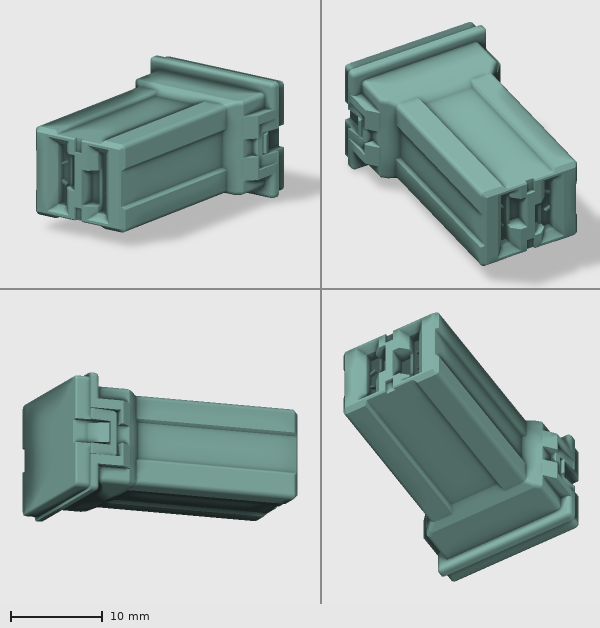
import cadquery as cq
import math


length = 26.9
cap_depth = 1.65
flange_back = length - cap_depth
flange_depth = 1.0
body_end = 19.03
taper_start_side = 20.3
taper_start_top = 20.0

flange_width, flange_height = 17.0, 13.2
cap_width, cap_height = 16.16, 12.46
housing_width, housing_height = 14.72, 10.76
body_width, body_height = 12.16, 10.06
corner_radius = 0.5
flange_edge_radius = 0.48
cap_edge_radius = 0.25
socket_chamfer = 0.5

recess_depth = 0.35
top_recess_half = 3.3
side_recess_half = 2.37

slot_center = 2.72
slot_width, slot_height = 1.2, 7.0
mouth_width, mouth_height = 2.88, 8.5
mouth_depth = 0.8
slot_depth = 1.85

pocket_inner = 0.46
pocket_low, pocket_high = -1.34, 2.8
pocket_depth = 2.0
plate_thickness = 0.28
plate_front = 1.5

rib_length, rib_thickness = 0.75, 0.26
rib_height = 0.4
rib_level = 1.15
rib_tilt = 27

notch_width = 1.0
notch_inner = 3.12
notch_depth = 0.45

frame_half = 3.65
frame_front = 21.47
frame_toe = 7.47
window_half = 2.6
window_front = 21.72
channel_half = 1.08

tab_half = 2.54
tab_front = 22.07
tab_root, tab_tip = 8.44, 8.0
tab_lead = 0.18
tab_corner_radius = 0.5
groove_half = 1.33
groove_front = 22.8
groove_floor = 7.3
nose_half = 1.08
nose_front = 23.1
nose_tip = 8.45

overlap = 0.5


def box(x0, x1, y0, y1, z0, z1):
    size = (x1 - x0, y1 - y0, z1 - z0)
    return cq.Workplane("XY").box(*size, centered=False).translate((x0, y0, z0))


def centered_block(width, height, y0, y1):
    return box(-width / 2, width / 2, y0, y1, -height / 2, height / 2)


def plan_prism(points, half_height):
    """Prism with an XY outline, centred on Z = 0."""
    return cq.Workplane("XY").polyline(points).close().extrude(half_height, both=True)


def half_turn(shape):
    return shape.rotate((0, 0, 0), (0, 1, 0), 180)


def tapered_block(inset):
    """Body and housing joined by the taper; the taper is carried on to a body inset on all sides."""
    side_run = taper_start_side - body_end
    side_slope = side_run / ((housing_width - body_width) / 2)
    top_run = taper_start_top - body_end
    top_slope = top_run / ((housing_height - body_height) / 2)

    def silhouette(plane, wide, narrow, start, slope, depth):
        end = body_end - inset * slope
        outline = [
            (-wide, flange_back),
            (-wide, start),
            (-narrow, end),
            (-narrow, 0),
            (narrow, 0),
            (narrow, end),
            (wide, start),
            (wide, flange_back),
        ]
        return cq.Workplane(plane).polyline(outline).close().extrude(depth, both=True)

    plan = silhouette("XY", housing_width / 2, body_width / 2 - inset,
                      taper_start_side, side_slope, housing_height)
    profile = silhouette("ZY", housing_height / 2, body_height / 2 - inset,
                         taper_start_top, top_slope, housing_width)
    return plan.intersect(profile)


def long_corner_edges(block):
    """Edges that run along the four long corners of a tapered block."""
    return [
        edge for edge in block.edges().vals()
        if abs(edge.Center().x) > body_width / 2 - socket_chamfer
        and abs(edge.Center().z) > body_height / 2 - socket_chamfer
    ]


def recess_cutters():
    """Grooves with 45 degree walls along the four body faces, ending on the carried-on taper."""
    def groove(half_width, face):
        floor = face - recess_depth
        top = face + overlap
        outline = [
            (-half_width - overlap, top),
            (half_width + overlap, top),
            (half_width - recess_depth, floor),
            (-half_width + recess_depth, floor),
        ]
        return cq.Workplane("XZ").polyline(outline).close().extrude(-taper_start_side)

    def turned(shape, angle):
        return shape.rotate((0, 0, 0), (0, 1, 0), angle)

    top = groove(top_recess_half, body_height / 2)
    side = turned(groove(side_recess_half, body_width / 2), 90)
    grooves = top.union(turned(top, 180)).union(side).union(turned(side, 180))
    return grooves.cut(tapered_block(recess_depth))


def main_body():
    block = tapered_block(0)
    block = block.newObject(long_corner_edges(block)).fillet(corner_radius)
    block = block.faces("<Y").chamfer(socket_chamfer)
    return block.cut(recess_cutters())


def flange():
    plate = centered_block(flange_width, flange_height, flange_back - flange_depth, flange_back)
    plate = plate.edges("|Y").fillet(corner_radius)
    return plate.faces("<Y").edges().fillet(flange_edge_radius)


def cap():
    block = centered_block(cap_width, cap_height, flange_back - overlap, length)
    block = block.edges("|Y").fillet(corner_radius)
    return block.faces(">Y").edges().fillet(cap_edge_radius)


def latch_frame():
    outline = [
        (0, taper_start_side),
        (frame_toe, taper_start_side),
        (flange_width / 2, frame_front),
        (flange_width / 2, flange_back),
        (0, flange_back),
    ]
    return plan_prism(outline, frame_half)


def latch_window():
    inner = housing_width / 2
    outer = flange_width / 2 + overlap
    window = box(inner, outer, window_front, flange_back, -window_half, window_half)
    channel = box(inner, outer, taper_start_side - overlap, window_front,
                  -channel_half, channel_half)
    return window.union(channel)


def spring_tab():
    inner = housing_width / 2 - overlap
    outline = [
        (inner, tab_front),
        (tab_tip, tab_front),
        (tab_root, flange_back - tab_lead),
        (flange_width / 2, flange_back - tab_lead),
        (flange_width / 2, flange_back),
        (inner, flange_back),
    ]
    tab = plan_prism(outline, tab_half)
    return tab.faces("<Y").edges("|X").fillet(tab_corner_radius)


def latch_groove():
    return box(groove_floor, flange_width / 2 + overlap, groove_front, length + overlap,
               -groove_half, groove_half)


def latch_nose():
    outline = [
        (groove_floor - overlap, nose_front),
        (nose_tip, nose_front),
        (groove_floor, flange_back),
        (groove_floor - overlap, flange_back),
    ]
    return plan_prism(outline, nose_half)


def add_latches(part):
    def both_sides(shape):
        return shape.union(half_turn(shape))

    part = part.union(both_sides(latch_frame()))
    part = part.cut(both_sides(latch_window()))
    part = part.union(both_sides(spring_tab()))
    part = part.cut(both_sides(latch_groove()))
    return part.union(both_sides(latch_nose()))


def left_slot():
    """Funnel, straight slot and side pocket on the -X side."""
    mouth = (
        cq.Workplane("XZ").center(-slot_center, 0).rect(mouth_width, mouth_height)
        .workplane(offset=-mouth_depth).rect(slot_width, slot_height)
        .loft(ruled=True)
    )
    slot_right = -slot_center + slot_width / 2
    slot = box(slot_right - slot_width, slot_right, 0, slot_depth,
               -slot_height / 2, slot_height / 2)
    plate_right = slot_right + plate_thickness
    above_plate = box(slot_right, plate_right, 0, plate_front, pocket_low, pocket_high)
    pocket = box(plate_right, -pocket_inner, 0, pocket_depth, pocket_low, pocket_high)
    return mouth.union(slot).union(above_plate).union(pocket)


def left_rib(side):
    """Upper (side = 1) or lower (side = -1) contact rib in the slot on the -X side."""
    slot_left = -slot_center - slot_width / 2
    half_reach = rib_length / 2 * math.cos(math.radians(rib_tilt))
    rib = box(-rib_length / 2, rib_length / 2, slot_depth - rib_height, slot_depth + overlap,
              -rib_thickness / 2, rib_thickness / 2)
    rib = rib.rotate((0, 0, 0), (0, 1, 0), -side * rib_tilt)
    return rib.translate((slot_left + half_reach, 0, side * rib_level))


def add_socket(part):
    slot = left_slot()
    part = part.cut(slot).cut(half_turn(slot))
    for side in (1, -1):
        rib = left_rib(side)
        part = part.union(rib).union(half_turn(rib))
    key = box(-notch_width / 2, notch_width / 2, 0, notch_depth, notch_inner, body_height / 2)
    return part.cut(key).cut(half_turn(key))


result = add_socket(add_latches(main_body().union(flange()).union(cap())))